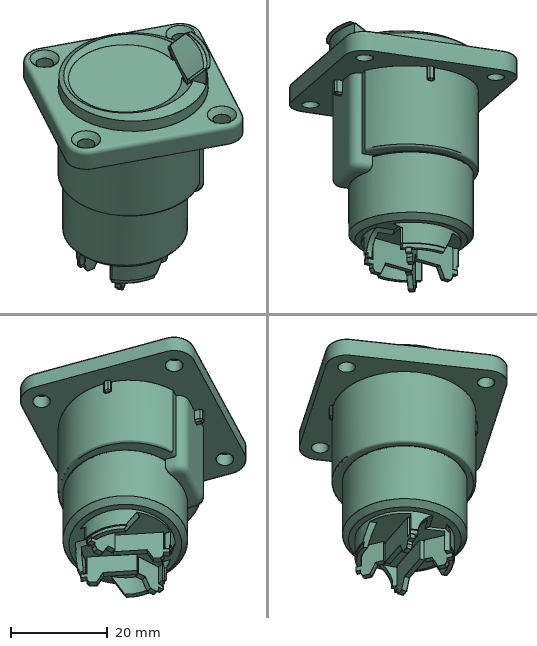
import math

import cadquery as cq

SOCKET_Y = -1.75

FLANGE_SIZE = 38.0
FLANGE_THICKNESS = 4.5
FLANGE_CORNER_RADIUS = 4.4
FLANGE_TOP_FILLET = 1.0
HOLE_PITCH = 29.3
HOLE_DIAMETER = 3.6
COUNTERSINK_DIAMETER = 6.0
COUNTERSINK_ANGLE = 90.0

COLLAR_BASE_RADIUS = 15.5
COLLAR_SHOULDER_RADIUS = 15.35
COLLAR_SHOULDER_Z = 2.5
RIM_SLOPE = 0.58
SOCKET_FACE_RADIUS = 11.7
RIM_CONE_WIDTH = 3.0

LATCH_HALF_WIDTH = 6.7
LATCH_FRONT_Y = 9.85
LATCH_FRONT_Z = 3.55
LATCH_BACK_RADIUS = 15.2
LATCH_CREST_RADIUS = 14.3
LATCH_TOP_Z = 6.5
LATCH_BACK_Z = 6.2
LATCH_LIP_RADIUS = 15.88
LATCH_LIP_THICKNESS = 0.12
LATCH_SAG_RADIUS = 40.0
LATCH_CORNER_CHAMFER = 0.5
LATCH_THUMB_CHAMFER = 0.4
LATCH_TOP_CHAMFER = 0.35
LATCH_GAP = 0.3
LATCH_SIDE_GAP = 0.1

HOUSING_RADIUS = 14.86
HOUSING_Y = -0.72
HOUSING_BOTTOM_Z = -22.3
HOUSING_BACK_FLAT_Y = 11.85
HOUSING_BOTTOM_FILLET = 0.5

RIB_BACK_Y = 13.86
RIB_HALF_WIDTH = 6.3
RIB_BOTTOM_Z = -25.7
RIB_SIDE_FILLET = 2.3
RIB_BOTTOM_FILLET = 1.5

KEY_RADIUS = 15.5
KEY_WIDTH = 1.6
KEY_INNER_RADIUS = 13.0
KEY_BOTTOM_Z = -7.5
KEY_EDGE_CHAMFER = 0.4

BARREL_RADIUS = 12.88
BARREL_BOTTOM_Z = -37.2
BARREL_CHAMFER = 1.25
BARREL_NECK_RADIUS = 12.6
BARREL_NECK_HEIGHT = 0.3

CARRIER_RADIUS = 10.3
CARRIER_SKIRT_Z = -41.75
CARRIER_CORE_RADIUS = 10.0
CARRIER_BOTTOM_Z = -42.7
CARRIER_INNER_RADIUS = 9.1

WINDOW_TOP_Z = -37.87
WINDOW_EDGE_X = 0.7
WINDOW_TOP_OFFSET = 5.85
WINDOW_BOTTOM_OFFSET = 3.85

ARCH_INNER_X = 0.88
ARCH_OUTER_X = 8.5
ARCH_DEPTH_OFFSET = 5.4
ARCH_RISE = 4.2
ARCH_RUN = 3.3
ARCH_RADIUS = 6.5

TOOTH_TIP_Z = -45.3
TOOTH_SHOULDER_Z = -44.5
TOOTH_STEP_Z = -43.74
TERMINAL_THICKNESS = 1.15
SIDE_PLATE_ANGLE = -33.0
SIDE_PLATE_OFFSET = 0.8
SIDE_PLATE_INNER = 4.0
SIDE_TOOTH_ROOT = 5.7
END_PLATE_ANGLE = -74.0
END_PLATE_OFFSET = -3.5
END_PLATE_INNER = -2.2
END_TOOTH_ROOT = 4.8
TOOTH_INNER_SLANT = 1.3
TOOTH_TIP_LENGTH = 1.6
TOOTH_OUTER_SLANT = 0.5
TOOTH_STEP_LENGTH = 1.25

OVERLAP = 1.0


def cylinder(radius, bottom, top, y=0.0):
    return cq.Workplane("XY").workplane(offset=bottom).center(0, y).circle(radius).extrude(top - bottom)


def block(x0, x1, y0, y1, z0, z1):
    return cq.Workplane("XY").box(x1 - x0, y1 - y0, z1 - z0, centered=False).translate((x0, y0, z0))


def revolved(points, y=0.0):
    """Full turn of an (r, z) outline about a vertical axis at the given Y."""
    turned = cq.Workplane("XZ").polyline(points).close().revolve(360, (0, 0, 0), (0, 1, 0))
    return turned.translate((0, y, 0))


def half_turn(shape):
    """Copy of a shape turned by 180 degrees about the socket axis."""
    return shape.rotate((0, SOCKET_Y, 0), (0, SOCKET_Y, 1), 180)


def make_flange():
    flange = cq.Workplane("XY").rect(FLANGE_SIZE, FLANGE_SIZE).extrude(-FLANGE_THICKNESS)
    flange = flange.edges("|Z").fillet(FLANGE_CORNER_RADIUS)
    flange = flange.faces(">Z").edges().fillet(FLANGE_TOP_FILLET)
    pattern = flange.faces(">Z").workplane(origin=(0, 0, 0))
    pattern = pattern.rect(HOLE_PITCH, HOLE_PITCH, forConstruction=True)
    return pattern.vertices().cskHole(HOLE_DIAMETER, COUNTERSINK_DIAMETER, COUNTERSINK_ANGLE)


def make_collar():
    rim_top = COLLAR_SHOULDER_Z + RIM_SLOPE * RIM_CONE_WIDTH
    collar = revolved([
        (0, -OVERLAP),
        (COLLAR_BASE_RADIUS, -OVERLAP),
        (COLLAR_BASE_RADIUS, 0),
        (COLLAR_SHOULDER_RADIUS, COLLAR_SHOULDER_Z),
        (COLLAR_SHOULDER_RADIUS - RIM_CONE_WIDTH, rim_top),
        (0, rim_top),
    ])
    dish = revolved([
        (0, COLLAR_SHOULDER_Z),
        (SOCKET_FACE_RADIUS, COLLAR_SHOULDER_Z),
        (SOCKET_FACE_RADIUS + RIM_CONE_WIDTH, rim_top),
        (0, rim_top),
    ], SOCKET_Y)
    half_gap = LATCH_HALF_WIDTH + LATCH_SIDE_GAP
    gap_front = LATCH_FRONT_Y - LATCH_GAP
    latch_gap = block(-half_gap, half_gap, gap_front, FLANGE_SIZE / 2, COLLAR_SHOULDER_Z, rim_top)
    return collar.cut(dish).cut(latch_gap)


def make_latch():
    """Tab with a curved back, a hollowed sloping thumb face and a thin lip along the back."""
    turned = revolved([
        (0, 0),
        (LATCH_BACK_RADIUS, 0),
        (LATCH_BACK_RADIUS, LATCH_BACK_Z - LATCH_LIP_THICKNESS),
        (LATCH_LIP_RADIUS, LATCH_TOP_Z - LATCH_LIP_THICKNESS),
        (LATCH_LIP_RADIUS, LATCH_TOP_Z),
        (LATCH_BACK_RADIUS, LATCH_BACK_Z),
        (LATCH_CREST_RADIUS, LATCH_TOP_Z),
        (0, LATCH_TOP_Z),
    ])
    limits = block(-LATCH_HALF_WIDTH, LATCH_HALF_WIDTH, LATCH_FRONT_Y, FLANGE_SIZE / 2, 0, LATCH_TOP_Z)
    limits = limits.edges("|Z and <Y").chamfer(LATCH_CORNER_CHAMFER)
    limits = limits.edges("|Y and >Z").chamfer(LATCH_TOP_CHAMFER)
    run = LATCH_CREST_RADIUS - LATCH_FRONT_Y
    rise = LATCH_TOP_Z - LATCH_FRONT_Z
    thumb_length = math.hypot(run, rise)
    thumb_plane = cq.Plane(
        origin=(0, LATCH_FRONT_Y, LATCH_FRONT_Z),
        xDir=(1, 0, 0),
        normal=(0, run / thumb_length, rise / thumb_length),
    )
    hollow = cq.Workplane(thumb_plane).center(0, -LATCH_SAG_RADIUS).circle(LATCH_SAG_RADIUS)
    hollow = hollow.extrude(2 * thumb_length, both=True)
    latch = turned.intersect(limits).cut(hollow)
    middle_y = (LATCH_FRONT_Y + LATCH_CREST_RADIUS) / 2
    for side in (-1, 1):
        thumb_edge = (side * LATCH_HALF_WIDTH, middle_y, (LATCH_FRONT_Z + LATCH_TOP_Z) / 2)
        latch = latch.edges(cq.NearestToPointSelector(thumb_edge)).chamfer(LATCH_THUMB_CHAMFER)
    return latch


def make_housing():
    housing = cylinder(HOUSING_RADIUS, HOUSING_BOTTOM_Z, -OVERLAP, HOUSING_Y)
    behind = block(-FLANGE_SIZE, FLANGE_SIZE, HOUSING_BACK_FLAT_Y, FLANGE_SIZE, HOUSING_BOTTOM_Z, 0)
    return housing.cut(behind).faces("<Z").edges().fillet(HOUSING_BOTTOM_FILLET)


def make_rib():
    rib = block(-RIB_HALF_WIDTH, RIB_HALF_WIDTH, 0, RIB_BACK_Y, RIB_BOTTOM_Z, -OVERLAP)
    rib = rib.edges("|Z and >Y").fillet(RIB_SIDE_FILLET)
    return rib.faces("<Z").edges("not <Y").fillet(RIB_BOTTOM_FILLET)


def make_key(angle):
    key = block(KEY_INNER_RADIUS, KEY_RADIUS, -KEY_WIDTH / 2, KEY_WIDTH / 2, KEY_BOTTOM_Z, -OVERLAP)
    key = key.edges("|Z and >X").chamfer(KEY_EDGE_CHAMFER)
    key = key.faces("<Z").edges().chamfer(KEY_EDGE_CHAMFER)
    return key.rotate((0, 0, 0), (0, 0, 1), angle)


def make_barrel():
    neck_bottom = HOUSING_BOTTOM_Z - BARREL_NECK_HEIGHT
    return revolved([
        (0, -OVERLAP),
        (BARREL_NECK_RADIUS, -OVERLAP),
        (BARREL_NECK_RADIUS, neck_bottom),
        (BARREL_RADIUS, neck_bottom),
        (BARREL_RADIUS, BARREL_BOTTOM_Z + BARREL_CHAMFER),
        (BARREL_RADIUS - BARREL_CHAMFER, BARREL_BOTTOM_Z),
        (0, BARREL_BOTTOM_Z),
    ], SOCKET_Y)


def make_slanted_window():
    """Window in the -X, -Y quarter with a slanted side."""
    far = SOCKET_Y - CARRIER_RADIUS - OVERLAP
    edge_run = WINDOW_BOTTOM_OFFSET - WINDOW_TOP_OFFSET
    edge_drop = CARRIER_SKIRT_Z - WINDOW_TOP_Z
    floor_offset = WINDOW_TOP_OFFSET + edge_run * (CARRIER_BOTTOM_Z - WINDOW_TOP_Z) / edge_drop
    outline = cq.Workplane("YZ").polyline([
        (far, WINDOW_TOP_Z),
        (SOCKET_Y - WINDOW_TOP_OFFSET, WINDOW_TOP_Z),
        (SOCKET_Y - floor_offset, CARRIER_BOTTOM_Z),
        (far, CARRIER_BOTTOM_Z),
    ]).close()
    return outline.extrude(-CARRIER_RADIUS - OVERLAP).translate((-WINDOW_EDGE_X, 0, 0))


def make_arched_window():
    """Window in the +X, -Y quarter whose inner upper corner is an arc."""
    outline = (
        cq.Workplane("XZ", origin=(0, SOCKET_Y - ARCH_DEPTH_OFFSET, 0))
        .moveTo(ARCH_INNER_X, CARRIER_BOTTOM_Z)
        .lineTo(ARCH_INNER_X, BARREL_BOTTOM_Z - ARCH_RISE)
        .radiusArc((ARCH_INNER_X + ARCH_RUN, BARREL_BOTTOM_Z), ARCH_RADIUS)
        .lineTo(ARCH_OUTER_X - OVERLAP, BARREL_BOTTOM_Z)
        .lineTo(ARCH_OUTER_X, BARREL_BOTTOM_Z - OVERLAP)
        .lineTo(ARCH_OUTER_X, CARRIER_BOTTOM_Z)
        .close()
    )
    return outline.extrude(CARRIER_RADIUS)


def make_carrier():
    carrier = cylinder(CARRIER_RADIUS, CARRIER_SKIRT_Z, BARREL_BOTTOM_Z + OVERLAP, SOCKET_Y)
    carrier = carrier.union(cylinder(CARRIER_CORE_RADIUS, CARRIER_BOTTOM_Z, CARRIER_SKIRT_Z, SOCKET_Y))
    carrier = carrier.cut(cylinder(CARRIER_INNER_RADIUS, CARRIER_BOTTOM_Z, WINDOW_TOP_Z, SOCKET_Y))
    for window in (make_slanted_window(), make_arched_window()):
        carrier = carrier.cut(window).cut(half_turn(window))
    return carrier


def make_terminal(angle, offset, plate_inner, tooth_root):
    """Plate along the given direction; its right-hand face lies at the offset."""
    top = BARREL_BOTTOM_Z + OVERLAP
    tip_inner = tooth_root + TOOTH_INNER_SLANT
    tip_outer = tip_inner + TOOTH_TIP_LENGTH
    shoulder = tip_outer + TOOTH_OUTER_SLANT
    step = shoulder + TOOTH_STEP_LENGTH
    plate = cq.Workplane("XZ", origin=(0, offset, 0)).polyline([
        (plate_inner, top),
        (plate_inner, CARRIER_BOTTOM_Z),
        (tooth_root, CARRIER_BOTTOM_Z),
        (tip_inner, TOOTH_TIP_Z),
        (tip_outer, TOOTH_TIP_Z),
        (shoulder, TOOTH_SHOULDER_Z),
        (shoulder, TOOTH_STEP_Z),
        (step, TOOTH_STEP_Z),
        (step, CARRIER_BOTTOM_Z),
        (shoulder, CARRIER_BOTTOM_Z),
        (shoulder, top),
    ]).close().extrude(-TERMINAL_THICKNESS)
    plate = plate.rotate((0, 0, 0), (0, 0, 1), angle).translate((0, SOCKET_Y, 0))
    return plate.intersect(cylinder(CARRIER_RADIUS, TOOTH_TIP_Z, top, SOCKET_Y))


def make_terminals():
    side = make_terminal(SIDE_PLATE_ANGLE, SIDE_PLATE_OFFSET, SIDE_PLATE_INNER, SIDE_TOOTH_ROOT)
    end = make_terminal(END_PLATE_ANGLE, END_PLATE_OFFSET, END_PLATE_INNER, END_TOOTH_ROOT)
    pair = side.union(end)
    return pair.union(half_turn(pair))


result = make_flange()
bodies = (
    make_collar(),
    make_latch(),
    make_housing(),
    make_rib(),
    make_barrel(),
    make_carrier(),
    make_terminals(),
)
for body in bodies:
    result = result.union(body)
for key_angle in (0, 90, 180):
    result = result.union(make_key(key_angle))